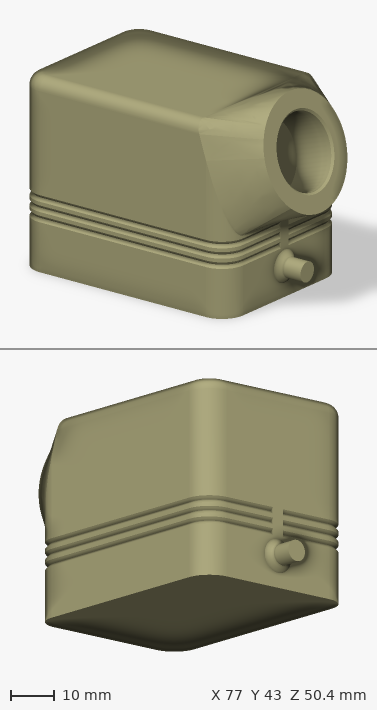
import cadquery as cq
import math

LENGTH = 60.0
WIDTH = 43.0
HEIGHT = 47.0
CORNER_RADIUS = 6.0
TOP_FILLET = 3.0

ENTRY_TILT = 18.0
SLANT_FOOT_HEIGHT = 19.5
ENTRY_LENGTH = 11.0
ENTRY_DIAMETER = 29.0
BORE_DIAMETER = 19.0
BORE_CHAMFER = 0.5
BORE_DEPTH = ENTRY_LENGTH

GROOVE_COUNT = 3
GROOVE_TOP = 18.75
GROOVE_PITCH = 2.5
GROOVE_WIDTH = 1.6
GROOVE_DEPTH = 0.7
GROOVE_GAP = 3.0

PEG_HEIGHT = 7.5
PEG_DIAMETER = 5.0
PEG_LENGTH = 6.5
PEG_BASE_DIAMETER = 8.0
PEG_BASE_LENGTH = 1.5

SLANT_HEIGHT = HEIGHT - SLANT_FOOT_HEIGHT
SLANT_SETBACK = SLANT_HEIGHT * math.tan(math.radians(ENTRY_TILT))
ENTRY_AXIS = cq.Vector(math.cos(math.radians(ENTRY_TILT)), 0, math.sin(math.radians(ENTRY_TILT)))
SLANT_CENTRE = cq.Vector(LENGTH / 2 - SLANT_SETBACK / 2, 0, SLANT_FOOT_HEIGHT + SLANT_HEIGHT / 2)
ENTRY_CENTRE = SLANT_CENTRE + ENTRY_AXIS * ENTRY_LENGTH
SLANT_PLANE = cq.Plane(origin=SLANT_CENTRE, xDir=(0, 1, 0), normal=ENTRY_AXIS)
MOUTH_PLANE = cq.Plane(origin=ENTRY_CENTRE, xDir=(0, 1, 0), normal=ENTRY_AXIS)


def body_outline(z):
    """Rounded rectangle of the body at height z."""
    sketch = cq.Sketch().rect(LENGTH, WIDTH).vertices().fillet(CORNER_RADIUS)
    return cq.Workplane("XY", origin=(0, 0, z)).placeSketch(sketch)


def make_body():
    """Rounded box with a filleted top, cut off along the slanted plane."""
    box = body_outline(0).extrude(HEIGHT).faces(">Z").edges().fillet(TOP_FILLET)
    beyond_slant = cq.Workplane(SLANT_PLANE).rect(2 * WIDTH, 2 * HEIGHT).extrude(LENGTH)
    above_foot = cq.Workplane("XY", origin=(0, 0, SLANT_FOOT_HEIGHT)).rect(2 * LENGTH, 2 * WIDTH)
    return box.cut(beyond_slant.intersect(above_foot.extrude(HEIGHT)))


def angle_about_axis(edge):
    """Polar angle of the middle of an edge about the entry axis."""
    local = SLANT_PLANE.toLocalCoords(edge.positionAt(0.5))
    return math.atan2(local.y, local.x)


def mouth_point(angle):
    """Point on the rim of the round mouth."""
    radius = ENTRY_DIAMETER / 2
    return MOUTH_PLANE.toWorldCoords((radius * math.cos(angle), radius * math.sin(angle), 0))


def make_mouth_rim(section_edges):
    """Rim of the mouth, split into arcs in proportion to the section edges, going round in their order."""
    perimeter = sum(edge.Length() for edge in section_edges)
    turns = [2 * math.pi * edge.Length() / perimeter for edge in section_edges]
    heights = [edge.positionAt(0.5).z for edge in section_edges]
    lowest = heights.index(min(heights))
    start = -math.pi / 2 - turns[lowest] / 2 - sum(turns[:lowest])
    arcs = []
    for turn in turns:
        rim_points = [mouth_point(start + part * turn) for part in (0, 0.5, 1)]
        arcs.append(cq.Edge.makeThreePointArc(*rim_points))
        start += turn
    return cq.Wire.assembleEdges(arcs)


def make_entry(body):
    """Ruled transition from the slanted section of the body to the round mouth."""
    section_face = body.faces(cq.selectors.NearestToPointSelector(SLANT_CENTRE.toTuple())).val()
    section_edges = sorted(section_face.outerWire().Edges(), key=angle_about_axis)
    section = cq.Wire.assembleEdges(section_edges)
    return cq.Workplane(cq.Solid.makeLoft([section, make_mouth_rim(section_edges)], True))


def make_bore():
    """Blind cable bore with a chamfered rim."""
    bore = cq.Workplane(MOUTH_PLANE).circle(BORE_DIAMETER / 2).extrude(-BORE_DEPTH)
    chamfer = cq.Solid.makeCone(
        BORE_DIAMETER / 2 + BORE_CHAMFER, BORE_DIAMETER / 2, BORE_CHAMFER, ENTRY_CENTRE, -ENTRY_AXIS
    )
    return bore.union(cq.Workplane(chamfer))


def make_groove(top):
    """Cutter for one V-shaped groove whose upper edge is at the given height."""
    half = GROOVE_WIDTH / 2
    taper = math.degrees(math.atan2(GROOVE_DEPTH, half))
    lower_core = body_outline(top - GROOVE_WIDTH).extrude(half, taper=taper)
    upper_core = body_outline(top).extrude(-half, taper=taper)
    slab = cq.Workplane("XY", origin=(0, 0, top - GROOVE_WIDTH)).rect(2 * LENGTH, 2 * WIDTH)
    bridge = cq.Workplane("XY", origin=(0, 0, top - GROOVE_WIDTH)).rect(2 * LENGTH, GROOVE_GAP)
    ring = slab.extrude(GROOVE_WIDTH).cut(lower_core).cut(upper_core)
    return ring.cut(bridge.extrude(GROOVE_WIDTH))


def make_peg(side):
    """Peg with a conical base on the end wall at +X (side = 1) or -X (side = -1)."""
    wall = side * LENGTH / 2
    profile = (
        cq.Workplane("XZ")
        .moveTo(0, PEG_HEIGHT)
        .lineTo(0, PEG_HEIGHT + PEG_BASE_DIAMETER / 2)
        .lineTo(wall, PEG_HEIGHT + PEG_BASE_DIAMETER / 2)
        .lineTo(wall + side * PEG_BASE_LENGTH, PEG_HEIGHT + PEG_DIAMETER / 2)
        .lineTo(wall + side * PEG_LENGTH, PEG_HEIGHT + PEG_DIAMETER / 2)
        .lineTo(wall + side * PEG_LENGTH, PEG_HEIGHT)
        .close()
    )
    return profile.revolve(360, (0, PEG_HEIGHT, 0), (1, PEG_HEIGHT, 0))


body = make_body()
result = body.union(make_entry(body)).cut(make_bore())
for index in range(GROOVE_COUNT):
    result = result.cut(make_groove(GROOVE_TOP - index * GROOVE_PITCH))
for side in (-1, 1):
    result = result.union(make_peg(side))